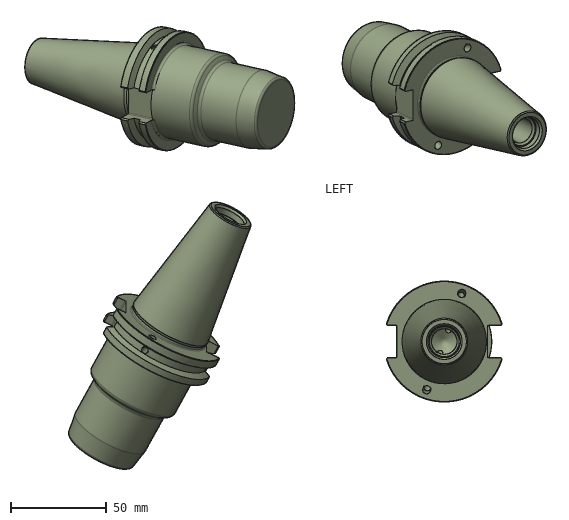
import cadquery as cq
import math

LENGTH = 148.8

CUT_MARGIN = 1.5

EDGE_MARGIN = 0.1

GAUGE_RADIUS = 22.2
TAPER_LENGTH = 68.3
TAPER_SLOPE = 7 / 48
TAPER_END_RADIUS = GAUGE_RADIUS - TAPER_LENGTH * TAPER_SLOPE
TAPER_END_CHAMFER = 0.6
NECK_RADIUS = 21.7
NECK_START = 69.6
NECK_ROOT_FILLET = 0.5

FLANGE_START = 71.4
FLANGE_END = 87.0
FLANGE_RADIUS = 63.5 / 2
FLANGE_CHAMFER = 0.3
GROOVE_CENTRE = 79.5
GROOVE_MOUTH_WIDTH = 7.1
GROOVE_FLOOR_WIDTH = 3.9
GROOVE_FLOOR_RADIUS = 28.1

BODY_RADIUS = 25.0
BODY_ROOT_FILLET = 1.3
SHOULDER_START = 112.0
SHOULDER_FILLET = 2.0
SHOULDER_SLOPE_ANGLE = 60
NOSE_RADIUS = 21.0
SHOULDER_LENGTH = (BODY_RADIUS - NOSE_RADIUS) / math.tan(math.radians(SHOULDER_SLOPE_ANGLE))
SHOULDER_END = SHOULDER_START + SHOULDER_LENGTH
NOSE_TAPER_START = 137.3
NOSE_TIP_RADIUS = 19.2
NOSE_TIP_FILLET = 1.3

SLOT_HALF_WIDTH = 8.5
SLOT_EDGE_CHAMFER = 0.7
SLOT_CORNER_FILLET = 0.5
SLOT_FLOOR_FRONT = 22.6
SLOT_FLOOR_BACK = BODY_RADIUS

BORE_MOUTH_RADIUS = 9.4
COUNTERBORE_RADIUS = 8.5
BORE_MOUTH_DEPTH = 1.3
COUNTERBORE_DEPTH = 4.6
BORE_RADIUS = 6.7
BORE_CHAMFER = 1.2
BORE_DEPTH = 80.2
DRILL_POINT_ANGLE = 118

COOLANT_ANGLE = 20
COOLANT_RADIUS = 2.1
COOLANT_TILT = 15
COOLANT_CIRCLE_RADIUS = 26.9
CHANNEL_RADIUS = 1.8


def edge_circle(x, radius):
    """Selector for the circular edge of this radius around the X axis at x."""
    reach = radius + EDGE_MARGIN
    low_corner = (x - EDGE_MARGIN, -reach, -reach)
    high_corner = (x + EDGE_MARGIN, reach, reach)
    return cq.selectors.BoxSelector(low_corner, high_corner, boundingbox=True)


def turned_body():
    groove_half_floor = GROOVE_FLOOR_WIDTH / 2
    groove_half_mouth = GROOVE_MOUTH_WIDTH / 2
    profile = [
        (0, 0),
        (0, TAPER_END_RADIUS - TAPER_END_CHAMFER),
        (TAPER_END_CHAMFER, TAPER_END_RADIUS + TAPER_END_CHAMFER * TAPER_SLOPE),
        (TAPER_LENGTH, GAUGE_RADIUS),
        (NECK_START, NECK_RADIUS),
        (FLANGE_START, NECK_RADIUS),
        (FLANGE_START, FLANGE_RADIUS - FLANGE_CHAMFER),
        (FLANGE_START + FLANGE_CHAMFER, FLANGE_RADIUS),
        (GROOVE_CENTRE - groove_half_mouth, FLANGE_RADIUS),
        (GROOVE_CENTRE - groove_half_floor, GROOVE_FLOOR_RADIUS),
        (GROOVE_CENTRE + groove_half_floor, GROOVE_FLOOR_RADIUS),
        (GROOVE_CENTRE + groove_half_mouth, FLANGE_RADIUS),
        (FLANGE_END - FLANGE_CHAMFER, FLANGE_RADIUS),
        (FLANGE_END, FLANGE_RADIUS - FLANGE_CHAMFER),
        (FLANGE_END, BODY_RADIUS),
        (SHOULDER_START, BODY_RADIUS),
        (SHOULDER_END, NOSE_RADIUS),
        (NOSE_TAPER_START, NOSE_RADIUS),
        (LENGTH, NOSE_TIP_RADIUS),
        (LENGTH, 0),
    ]
    body = cq.Workplane("XY").polyline(profile).close().revolve(360, (0, 0, 0), (1, 0, 0))
    rounded_edges = [
        (FLANGE_START, NECK_RADIUS, NECK_ROOT_FILLET),
        (FLANGE_END, BODY_RADIUS, BODY_ROOT_FILLET),
        (SHOULDER_START, BODY_RADIUS, SHOULDER_FILLET),
        (SHOULDER_END, NOSE_RADIUS, SHOULDER_FILLET),
        (LENGTH, NOSE_TIP_RADIUS, NOSE_TIP_FILLET),
    ]
    for x, radius, fillet in rounded_edges:
        body = body.edges(edge_circle(x, radius)).fillet(fillet)
    return body


def drive_slot(floor, side):
    """Slot cutter from the floor outwards; its Z walls flare where they meet the flange rim.

    It also clears the root fillet behind the flange, but leaves the body itself whole.
    """
    flare_half_width = SLOT_HALF_WIDTH + SLOT_EDGE_CHAMFER
    flare_end = math.sqrt(FLANGE_RADIUS**2 - flare_half_width**2)
    flare_start = flare_end - SLOT_EDGE_CHAMFER
    outside = FLANGE_RADIUS + CUT_MARGIN
    half = [
        (floor, SLOT_HALF_WIDTH),
        (flare_start, SLOT_HALF_WIDTH),
        (flare_end, flare_half_width),
        (outside, flare_half_width),
    ]
    outline = [(side * y, z) for y, z in half] + [(side * y, -z) for y, z in reversed(half)]
    length = FLANGE_END + BODY_ROOT_FILLET - FLANGE_START
    cutter = cq.Workplane("YZ", origin=(FLANGE_START, 0, 0)).polyline(outline).close().extrude(length)
    floor_face = "<Y" if side > 0 else ">Y"
    cutter = cutter.faces(floor_face).edges("|X").fillet(SLOT_CORNER_FILLET)
    body = cq.Workplane("YZ", origin=(FLANGE_END, 0, 0)).circle(BODY_RADIUS).extrude(BODY_ROOT_FILLET)
    return cutter.cut(body)


def shank_bore():
    point_depth = BORE_RADIUS / math.tan(math.radians(DRILL_POINT_ANGLE / 2))
    profile = [
        (0, 0),
        (0, BORE_MOUTH_RADIUS),
        (BORE_MOUTH_DEPTH, COUNTERBORE_RADIUS),
        (COUNTERBORE_DEPTH, COUNTERBORE_RADIUS),
        (COUNTERBORE_DEPTH, BORE_RADIUS + BORE_CHAMFER),
        (COUNTERBORE_DEPTH + BORE_CHAMFER, BORE_RADIUS),
        (BORE_DEPTH, BORE_RADIUS),
        (BORE_DEPTH + point_depth, 0),
    ]
    return cq.Workplane("XY").polyline(profile).close().revolve(360, (0, 0, 0), (1, 0, 0))


def coolant_passage(angle):
    """Hole from the flange face, leaning inwards to meet a radial channel between groove and bore."""
    tilt = math.radians(COOLANT_TILT)
    run = CUT_MARGIN + GROOVE_CENTRE - FLANGE_START
    start = cq.Vector(FLANGE_START - CUT_MARGIN, 0, COOLANT_CIRCLE_RADIUS + CUT_MARGIN * math.tan(tilt))
    direction = cq.Vector(math.cos(tilt), 0, -math.sin(tilt))
    leaning_hole = cq.Solid.makeCylinder(COOLANT_RADIUS, run / math.cos(tilt), start, direction)
    channel_foot = cq.Workplane("XY", origin=(GROOVE_CENTRE, 0, 0))
    channel = channel_foot.circle(CHANNEL_RADIUS).extrude(FLANGE_RADIUS)
    return channel.union(cq.Workplane(leaning_hole)).rotate((0, 0, 0), (1, 0, 0), angle)


result = turned_body().cut(shank_bore())
result = result.cut(drive_slot(SLOT_FLOOR_FRONT, -1))
result = result.cut(drive_slot(SLOT_FLOOR_BACK, 1))
for half_turn in (0, 180):
    result = result.cut(coolant_passage(COOLANT_ANGLE + half_turn))